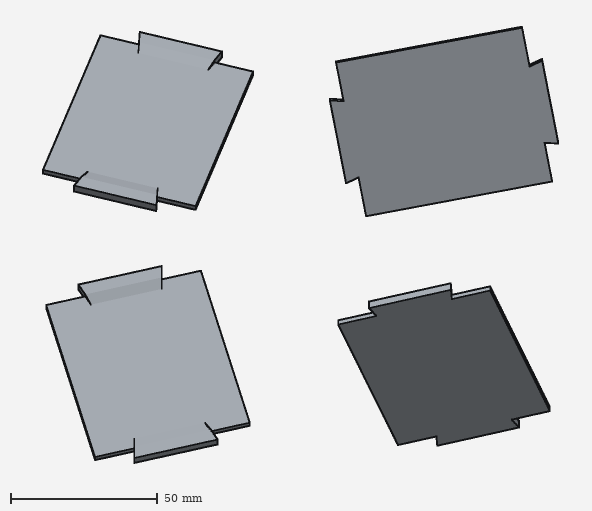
import cadquery as cq

overall_length = 74.0
plate_width = 54.8
plate_length = 64.8
plate_thickness = 2.0

tab_height = 3.1
tab_outer_width = 29.6
tab_inner_width = 25.15
tab_overlap = 3.85

outer_y = overall_length / 2
plate_edge_y = plate_length / 2
inner_y = plate_edge_y - tab_overlap


def make_plate():
    """Flat rectangular plate with its underside at Z = 0."""
    return cq.Workplane("XY").box(
        plate_width, plate_length, plate_thickness, centered=(True, True, False)
    )


def make_tab():
    """Tab at the +Y end: a trapezoid in plan trimmed to the ramped side profile."""
    trapezoid = (
        cq.Workplane("XY")
        .polyline([
            (-tab_inner_width / 2, inner_y),
            (tab_inner_width / 2, inner_y),
            (tab_outer_width / 2, outer_y),
            (-tab_outer_width / 2, outer_y),
        ])
        .close()
        .extrude(tab_height)
    )
    side_profile = (
        cq.Workplane("YZ")
        .polyline([
            (inner_y, 0),
            (outer_y, 0),
            (outer_y, tab_height),
            (plate_edge_y, tab_height),
            (inner_y, plate_thickness),
        ])
        .close()
        .extrude(tab_outer_width / 2, both=True)
    )
    return trapezoid.intersect(side_profile)


tab = make_tab()
result = make_plate().union(tab).union(tab.mirror("XZ"))